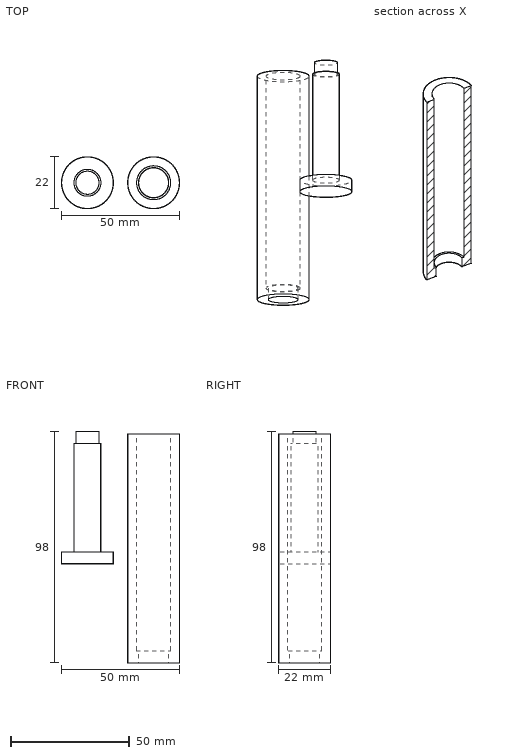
import cadquery as cq

outer_diameter = 22.0
tube_length = 97.0
bore_diameter = 14.4
lip_bore_diameter = 12.6
lip_height = 5.0

axis_spacing = 28.0
head_height = 5.0
shaft_diameter = 11.4
shaft_length = 46.0
tip_diameter = 9.8
tip_length = 5.0
tip_rise_above_tube = 1.0
plunger_length = head_height + shaft_length + tip_length
plunger_base_z = tube_length + tip_rise_above_tube - plunger_length


def make_tube():
    """Open tube with a wide bore that narrows at an inner lip at the bottom."""
    return (
        cq.Workplane("XY")
        .circle(outer_diameter / 2)
        .circle(lip_bore_diameter / 2)
        .extrude(tube_length)
        .faces(">Z")
        .workplane()
        .circle(bore_diameter / 2)
        .cutBlind(-(tube_length - lip_height))
    )


def make_plunger():
    """Stepped round plunger: a wide head, a long shaft and a narrower tip."""
    return (
        cq.Workplane("XY", origin=(-axis_spacing, 0, plunger_base_z))
        .circle(outer_diameter / 2)
        .extrude(head_height)
        .faces(">Z")
        .workplane()
        .circle(shaft_diameter / 2)
        .extrude(shaft_length)
        .faces(">Z")
        .workplane()
        .circle(tip_diameter / 2)
        .extrude(tip_length)
    )


tube = make_tube()
plunger = make_plunger()

result = cq.Compound.makeCompound([tube.val(), plunger.val()])